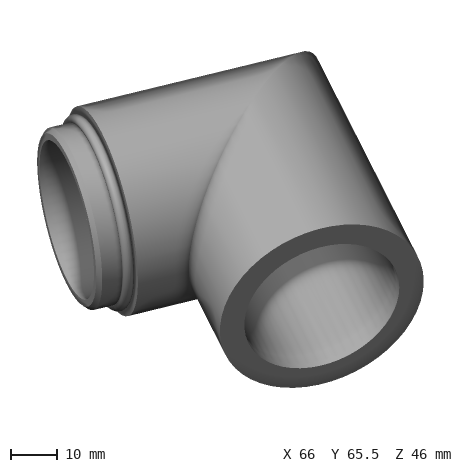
import cadquery as cq

length_x = 66.0
length_y = 65.5
pipe_diameter = 46.0
bore_diameter = 35.0

spigot_diameter = 40.0
spigot_length = 8.0
tip_chamfer = 1.0
ring_diameter = 43.15
ring_thickness = 2.5

pipe_radius = pipe_diameter / 2
spigot_radius = spigot_diameter / 2
tip_radius = spigot_radius - tip_chamfer

x_end = length_x - pipe_radius
y_end = length_y - pipe_radius
shoulder = y_end - spigot_length


def mitred_elbow(diameter, x_reach, y_reach):
    """Two equal cylinders joined on the 45 degree plane through the outer corner."""
    radius = diameter / 2
    x_leg = (
        cq.Workplane("YZ").workplane(offset=-radius)
        .circle(radius).extrude(x_reach + radius)
    )
    y_leg = (
        cq.Workplane("XZ").workplane(offset=-radius)
        .circle(radius).extrude(y_reach + radius)
    )
    x_side = (
        cq.Workplane("XY")
        .polyline([(-radius, radius), (x_reach, radius), (x_reach, -x_reach)])
        .close().extrude(radius, both=True)
    )
    y_side = (
        cq.Workplane("XY")
        .polyline([(-radius, radius), (-radius, -y_reach), (y_reach, -y_reach)])
        .close().extrude(radius, both=True)
    )
    return x_leg.intersect(x_side).union(y_leg.intersect(y_side))


def spigot():
    """Stepped-down end of the -Y leg with a conical lead-in at its tip."""
    return (
        cq.Workplane("XY")
        .moveTo(0, -shoulder)
        .lineTo(spigot_radius, -shoulder)
        .lineTo(spigot_radius, -(y_end - tip_chamfer))
        .lineTo(tip_radius, -y_end)
        .lineTo(0, -y_end)
        .close()
        .revolve(360, (0, 0), (0, 1))
    )


def sealing_ring():
    """Round-section ring seated against the shoulder of the spigot."""
    section_radius = ring_thickness / 2
    centre_radius = ring_diameter / 2 - section_radius
    return (
        cq.Workplane("XY")
        .moveTo(centre_radius, -(shoulder + section_radius))
        .circle(section_radius)
        .revolve(360, (0, 0), (0, 1))
    )


outside = mitred_elbow(pipe_diameter, x_end, shoulder).union(spigot()).union(sealing_ring())
bore = mitred_elbow(bore_diameter, x_end, y_end)
result = outside.cut(bore)